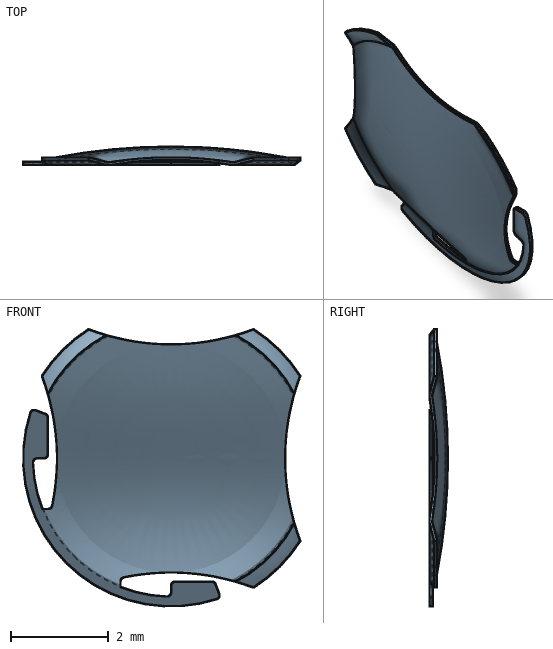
import cadquery as cq
import math

height = 0.38
dome_radius = 2.34
shell_thickness = 0.055
dome_edge_back = 0.16
valley_inner_radius = 2.785
valley_outer_radius = 2.845
valley_back_radius = (valley_inner_radius + valley_outer_radius) / 2
tab_radius = 3.135
tab_edge_front = 0.095

scallop_radius = 4.78
scallop_reach = 2.335
scallop_end = -1.03

arm_outer_radius = 3.03
arm_inner_radius = 2.825
arm_thickness = 0.07
pad_inner_x = -2.52
pad_inner_top = 0.89
pad_outer_top = 1.02
corner_radius = 0.085

cutter_depth = 3 * height


def prism(sketch, depth):
    """Extrude an XZ outline from the front toward +Y."""
    return sketch.extrude(-depth)


def swap_sides(body):
    """Mirror across the X = Z diagonal plane: left becomes bottom and right becomes top."""
    return body.mirror("YZ").rotate((0, 0, 0), (0, 1, 0), 90)


def make_lens():
    dome_edge_front = dome_edge_back - shell_thickness
    dome_rise = height - dome_edge_back
    sphere_radius = (dome_radius**2 + dome_rise**2) / (2 * dome_rise)
    middle_x = dome_radius / 2
    middle_back = height - sphere_radius + math.sqrt(sphere_radius**2 - middle_x**2)
    profile = (
        cq.Workplane("XY")
        .moveTo(0, height)
        .threePointArc((middle_x, middle_back), (dome_radius, dome_edge_back))
        .lineTo(valley_back_radius, shell_thickness)
        .lineTo(tab_radius, dome_edge_back)
        .lineTo(tab_radius, tab_edge_front)
        .lineTo(valley_outer_radius, 0)
        .lineTo(valley_inner_radius, 0)
        .lineTo(dome_radius, dome_edge_front)
        .threePointArc((middle_x, middle_back - shell_thickness), (0, height - shell_thickness))
        .close()
    )
    return profile.revolve(360, (0, 0, 0), (0, 1, 0))


def make_scallop():
    """Full scallop on the right side."""
    center_x = scallop_reach + scallop_radius
    return prism(cq.Workplane("XZ").center(center_x, 0).circle(scallop_radius), cutter_depth)


def make_short_scallop():
    """Left scallop, stopped at its lower end by a straight edge with a rounded corner."""
    center_x = -scallop_reach - scallop_radius
    end_x = center_x + math.sqrt(scallop_radius**2 - scallop_end**2)
    sketch = (
        cq.Workplane("XZ")
        .moveTo(center_x, scallop_end)
        .lineTo(end_x, scallop_end)
        .threePointArc((-scallop_reach, 0), (center_x, scallop_radius))
        .close()
    )
    cutter = prism(sketch, cutter_depth)
    lower_corner = cq.selectors.NearestToPointSelector((end_x, cutter_depth / 2, scallop_end))
    return cutter.edges(lower_corner).fillet(corner_radius)


def make_corner_trim():
    """Everything outside the inner edge of the arm in the lower left quadrant."""
    block = prism(cq.Workplane("XZ").rect(-tab_radius, -tab_radius, centered=False), cutter_depth)
    return block.cut(prism(cq.Workplane("XZ").circle(arm_inner_radius), cutter_depth))


def make_arm():
    outer_top_x = -math.sqrt(arm_outer_radius**2 - pad_outer_top**2)
    outer_middle = -arm_outer_radius * math.sqrt(0.5)
    inner_middle = -arm_inner_radius * math.sqrt(0.5)
    sketch = (
        cq.Workplane("XZ")
        .moveTo(outer_top_x, pad_outer_top)
        .threePointArc((outer_middle, outer_middle), (pad_outer_top, outer_top_x))
        .lineTo(pad_inner_top, pad_inner_x)
        .lineTo(0, pad_inner_x)
        .lineTo(0, -arm_inner_radius)
        .threePointArc((inner_middle, inner_middle), (-arm_inner_radius, 0))
        .lineTo(pad_inner_x, 0)
        .lineTo(pad_inner_x, pad_inner_top)
        .close()
    )
    return prism(sketch, arm_thickness).edges("|Y").fillet(corner_radius)


scallop = make_scallop()
short_scallop = make_short_scallop()
lens = make_lens()
for cutter in (scallop, swap_sides(scallop), short_scallop, swap_sides(short_scallop), make_corner_trim()):
    lens = lens.cut(cutter)

result = lens.union(make_arm())